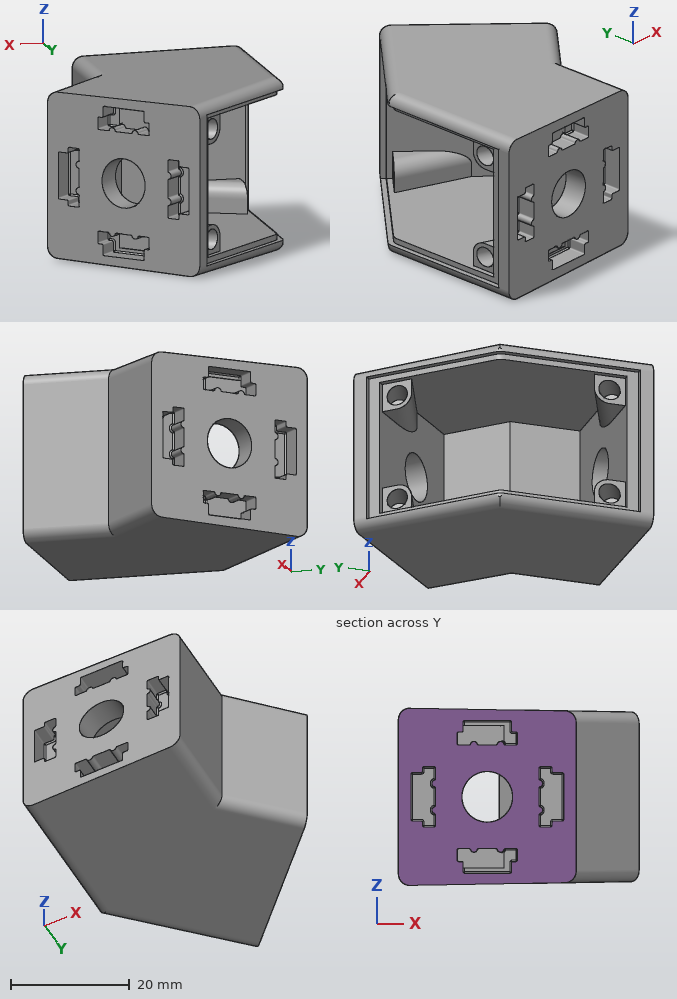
import cadquery as cq
import math

width = 30.0
bend_angle = 45.0
inner_leg_length = 15.0
draft_angle = 1.0
edge_radius = 2.0
bend_radius = 2.0

wall = 4.4
cavity_height = 24.0
recess_inset = 2.4
recess_depth = 1.0
recess_height = width - 2 * edge_radius

boss_top = 2.0
boss_center_y = 7.2
boss_center_z = 9.5
boss_radius = 2.5
boss_lean = bend_angle / 2
screw_hole_diameter = 3.5
screw_hole_depth = 6.0

end_hole_diameter = 8.5
slot_count = 4
slot_depth = 3.6
slot_inner = 8.75
slot_step = 10.9
slot_outer = 12.85
slot_ear_width = 10.1
slot_trunk_width = 8.1
slot_edge_break = 0.25
ridge_radius = 0.6
ridge_count = 2
ridge_spacing = 4.5

half_width = width / 2
bend = math.radians(bend_angle)
miter_rise = math.tan(bend / 2)
outer_leg_length = inner_leg_length + width * miter_rise
leg_direction = (math.sin(bend), math.cos(bend))
bend_normal = cq.Vector(-math.sin(bend / 2), -math.cos(bend / 2), 0)
bend_point = (width, inner_leg_length, 0)


def both_legs(feature):
    """Join a feature of the first leg with its mirror image in the second leg."""
    return feature.union(feature.mirror(bend_normal, bend_point))


def bend_corner(x):
    """Point on the miter plane at a distance x from the outer side of the first leg."""
    return (x, outer_leg_length - x * miter_rise)


def along_second_leg(x, end_inset):
    """Point in the second leg, x in from its outer side and end_inset from its end face."""
    corner = bend_corner(x)
    length = corner[1] - end_inset
    return (corner[0] + length * leg_direction[0], corner[1] + length * leg_direction[1])


def bent_prism(near, far, end_inset, height):
    """Prism that follows both legs between two distances from the outer side."""
    outline = [
        (near, end_inset),
        (far, end_inset),
        bend_corner(far),
        along_second_leg(far, end_inset),
        along_second_leg(near, end_inset),
        bend_corner(near),
    ]
    return cq.Workplane("XY").polyline(outline).close().extrude(height / 2, both=True)


def round_bend(prism, distance):
    """Round the upright bend edge of a prism at a distance from the outer side."""
    bend_edge = cq.selectors.NearestToPointSelector((*bend_corner(distance), 0))
    return prism.edges("|Z").edges(bend_edge).fillet(bend_radius)


def make_body():
    """Solid bent body, tapered along X, with its long edges and its outer bend rounded."""
    reach = 2 * width
    narrowing = reach * math.tan(math.radians(draft_angle))
    side = [
        (0, -half_width),
        (reach, -half_width + narrowing),
        (reach, half_width - narrowing),
        (0, half_width),
    ]
    wedge = cq.Workplane("XZ").polyline(side).close().extrude(-reach)
    prism = bent_prism(0, width, 0, width)
    body = prism.intersect(wedge)

    tolerance = 1e-3

    def is_lengthwise(edge):
        end_face = cq.Vector(*along_second_leg(width, 0))
        from_end = (edge.Center() - end_face).dot(cq.Vector(*leg_direction))
        upright = edge.BoundingBox().zlen > width / 2
        return not upright and edge.Center().y > tolerance and from_end < -tolerance

    lengthwise = [edge for edge in body.edges().vals() if is_lengthwise(edge)]
    return body.newObject(lengthwise).fillet(edge_radius).intersect(round_bend(prism, 0))


def make_recess():
    return round_bend(bent_prism(0, recess_depth, recess_inset, recess_height), recess_depth)


def lean_direction():
    """Unit vector that goes into the part while leaning towards the end wall."""
    lean = math.radians(boss_lean)
    return cq.Vector(math.cos(lean), -math.sin(lean), 0)


def mirrored_pair(upper):
    """Join an upper feature with its mirror image below the mid-plane."""
    return upper.union(upper.mirror("XY"))


def make_bosses():
    """Leaning bosses of the first leg, rounded on their free corner and merging into the walls."""
    mouth = cq.Vector(boss_top, boss_center_y, boss_center_z)
    across = cq.Vector(0, 0, 1).cross(lean_direction())
    start = mouth - lean_direction() * boss_radius
    flat_height = cavity_height / 2 - boss_center_z
    boss = (
        cq.Workplane(cq.Plane(start, xDir=across, normal=lean_direction()))
        .moveTo(-wall, flat_height)
        .lineTo(boss_radius, flat_height)
        .lineTo(boss_radius, 0)
        .radiusArc((0, -boss_radius), boss_radius)
        .lineTo(-wall, -boss_radius)
        .close()
        .extrude(width)
    )
    foot = slot_depth - slot_edge_break
    limits = cq.Workplane("XY").box(width, width, width, centered=(False, False, True))
    return mirrored_pair(boss.intersect(limits.translate((boss_top, foot, 0))))


def make_screw_holes():
    """Blind screw holes along the boss axes, started above the boss tops to clear their rims."""
    axis = lean_direction()
    clearance = boss_top
    mouth = cq.Vector(boss_top, boss_center_y, boss_center_z)
    hole = cq.Solid.makeCylinder(
        screw_hole_diameter / 2, screw_hole_depth + clearance, mouth - axis * clearance, axis
    )
    return mirrored_pair(cq.Workplane(hole))


def end_face():
    """Sketch plane on the first end face, centred on it, whose local y is Z."""
    return cq.Workplane("XZ", origin=(half_width, 0, 0))


def slot_block(block_width, bottom, top):
    middle = (bottom + top) / 2
    return end_face().center(0, middle).rect(block_width, top - bottom).extrude(-slot_depth)


def make_slot():
    """Stepped slot above the centre hole, with two round ridges left along its inner side."""
    ears = slot_block(slot_ear_width, slot_inner, slot_step)
    trunk = slot_block(slot_trunk_width, slot_inner, slot_outer)
    ridges = (
        end_face()
        .center(0, slot_inner)
        .rarray(ridge_spacing, 1, ridge_count, 1)
        .circle(ridge_radius)
        .extrude(-slot_depth)
    )
    slot = ears.union(trunk).cut(ridges)
    return slot.edges("|Y").fillet(slot_edge_break).faces(">Y").chamfer(slot_edge_break)


def make_end_openings():
    """Centre hole through the first end wall, with the blind slots around it."""
    openings = end_face().circle(end_hole_diameter / 2).extrude(-wall)
    slot = make_slot()
    for index in range(slot_count):
        turned = slot.rotate((half_width, 0, 0), (half_width, 1, 0), index * 360 / slot_count)
        openings = openings.union(turned)
    return openings


cavity = bent_prism(0, width - wall, wall, cavity_height)
bosses = both_legs(make_bosses())

result = (
    make_body()
    .cut(cavity.cut(bosses))
    .cut(make_recess())
    .cut(both_legs(make_screw_holes()))
    .cut(both_legs(make_end_openings()).cut(bosses))
)